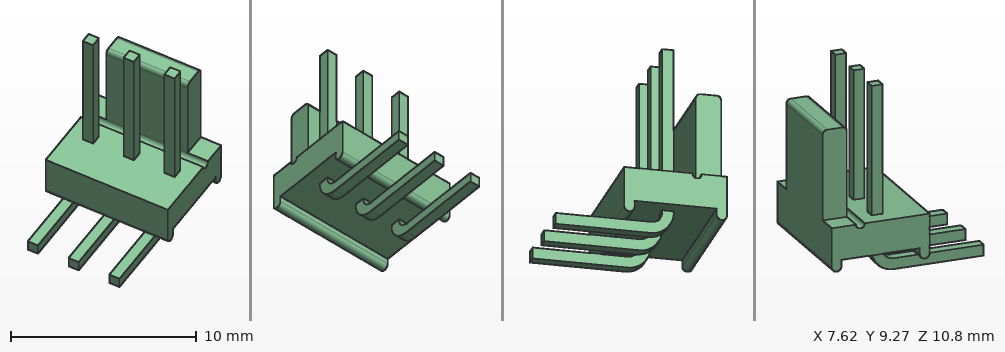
import cadquery as cq

pin_count = 3
pitch = 2.54
total_depth = 9.27
total_height = 10.77

pin_size = 0.64
pin_from_back = 3.05
bend_inner_radius = 0.64

body_depth = 5.72
body_top = 3.3
body_underside = 1.38
foot_bottom = 0.74
foot_thickness = 0.57

wall_thickness = 1.41
wall_top = 8.5
wall_edge_radius = 0.26
groove_radius = 0.26

body_width = pin_count * pitch
wall_width = (pin_count - 1) * pitch
back = total_depth
front = back - body_depth
wall_front = back - wall_thickness
pin_y = back - pin_from_back
bend_radius = bend_inner_radius + pin_size / 2


def block(width, y_min, y_max, z_min, z_max):
    """Box centred on X between the given Y and Z limits."""
    return cq.Workplane("XY").box(
        width, y_max - y_min, z_max - z_min, centered=(True, False, False)
    ).translate((0, y_min, z_min))


def make_foot(y_min):
    """Standoff rail across the full width with a fully rounded bottom."""
    radius = foot_thickness / 2
    y_max = y_min + foot_thickness
    round_start = foot_bottom + radius
    return (
        cq.Workplane("YZ", origin=(-body_width / 2, 0, 0))
        .moveTo(y_min, body_top)
        .lineTo(y_min, round_start)
        .threePointArc((y_min + radius, foot_bottom), (y_max, round_start))
        .lineTo(y_max, body_top)
        .close()
        .extrude(body_width)
    )


def make_wall():
    """Upright locking wall with rounded top edges."""
    wall = block(wall_width, wall_front, back, body_underside, wall_top)
    return wall.edges("|X and >Z").fillet(wall_edge_radius)


def make_groove():
    """Half-round relief groove at the foot of the wall."""
    return (
        cq.Workplane("YZ", origin=(-body_width / 2, 0, 0))
        .center(wall_front - groove_radius, body_top)
        .circle(groove_radius)
        .extrude(body_width)
    )


def make_pin(x):
    """Square pin, straight above and bent forward below the body."""
    path = (
        cq.Workplane("YZ", origin=(x, 0, 0))
        .moveTo(pin_y, total_height)
        .lineTo(pin_y, pin_size / 2 + bend_radius)
        .tangentArcPoint((-bend_radius, -bend_radius))
        .lineTo(0, pin_size / 2)
    )
    section = cq.Workplane("XY", origin=(x, pin_y, total_height))
    return section.rect(pin_size, pin_size).sweep(path)


result = block(body_width, front, back, body_underside, body_top)
for foot_y in (front, back - foot_thickness):
    result = result.union(make_foot(foot_y))
result = result.cut(make_groove()).union(make_wall())
for index in range(pin_count):
    pin_x = (index - (pin_count - 1) / 2) * pitch
    result = result.union(make_pin(pin_x))